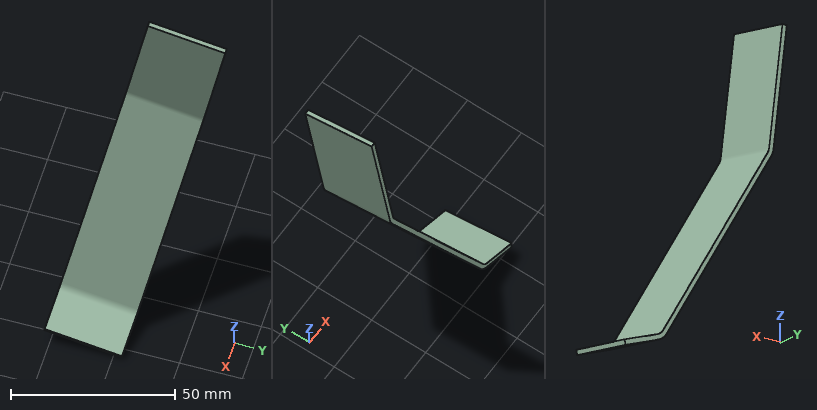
import cadquery as cq
import math

strip_width = 25.1
thickness = 1.7
strip_tilt = 10.0
upper_length = 40.3
overall_height = 113.9
overall_depth = 47.5
middle_angle = 26.6
foot_angle = 70.0
inner_radius = 3.4

outer_radius = inner_radius + thickness
tilt = math.radians(strip_tilt)
strip_length = (overall_height - strip_width * math.sin(tilt)) / math.cos(tilt)


def leg_direction(angle):
    """Unit vector (X, Z) of a leg that leans outward from straight down."""
    lean = math.radians(angle)
    return math.sin(lean), -math.cos(lean)


def miter_corner(corner, angle_before, angle_after):
    """Inner-face corner opposite an outer-face corner, one thickness away."""
    mean_angle = (angle_before + angle_after) / 2
    half_bend = math.radians((angle_after - angle_before) / 2)
    along_x, along_z = leg_direction(mean_angle)
    reach = thickness / math.cos(half_bend)
    return corner[0] - along_z * reach, corner[1] + along_x * reach


foot_x, foot_z = leg_direction(foot_angle)
outer_top = (0, 0)
outer_upper_bend = (0, -upper_length)
outer_tip = (overall_depth + foot_z * thickness, -strip_length)

foot_slope = foot_z / foot_x
middle_lean_ratio = math.tan(math.radians(middle_angle))
middle_drop = (strip_length - upper_length + foot_slope * outer_tip[0]) / (1 + foot_slope * middle_lean_ratio)
outer_lower_bend = (middle_drop * middle_lean_ratio, -upper_length - middle_drop)

inner_tip = (outer_tip[0] - foot_z * thickness, outer_tip[1] + foot_x * thickness)
inner_lower_bend = miter_corner(outer_lower_bend, middle_angle, foot_angle)
inner_upper_bend = miter_corner(outer_upper_bend, 0, middle_angle)
inner_top = (thickness, 0)

strip = (
    cq.Workplane("XZ")
    .polyline([
        outer_top, outer_upper_bend, outer_lower_bend, outer_tip,
        inner_tip, inner_lower_bend, inner_upper_bend, inner_top,
    ])
    .close()
    .extrude(strip_width)
)


def round_bend_edge(body, corner, radius):
    """Round the edge that runs across the strip at a profile corner."""
    edge_middle = (corner[0], -strip_width / 2, corner[1])
    return body.edges(cq.selectors.NearestToPointSelector(edge_middle)).fillet(radius)


for outer_corner, inner_corner in (
    (outer_upper_bend, inner_upper_bend),
    (outer_lower_bend, inner_lower_bend),
):
    strip = round_bend_edge(strip, outer_corner, outer_radius)
    strip = round_bend_edge(strip, inner_corner, inner_radius)

result = strip.rotate((0, 0, 0), (1, 0, 0), -strip_tilt)